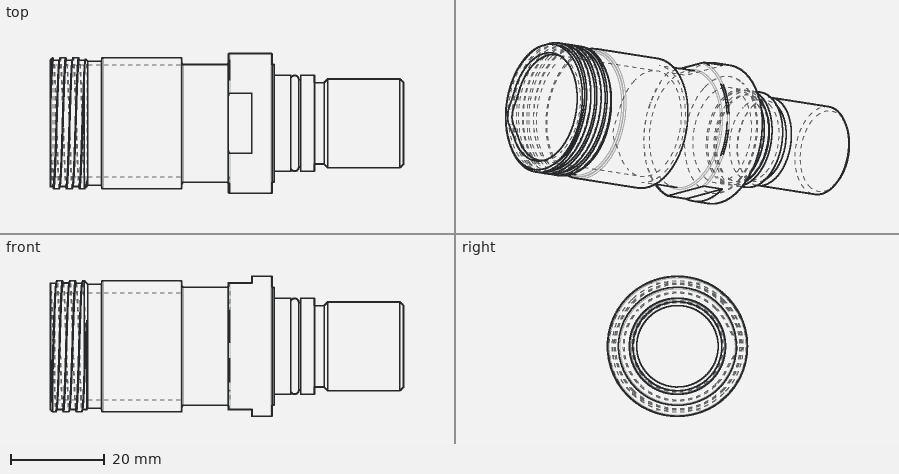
import cadquery as cq
import math

thread_end = 8.0
barrel_start = 10.97
barrel_end = 28.1
flange_start = 38.0
flange_end = 47.35
hub_end = 47.8
groove_start = 51.35
groove_end = 53.4
collar_end = 56.4
undercut_end = 58.4
total_length = 75.4

thread_crest_radius = 28.0 / 2
thread_root_radius = 27.0 / 2
relief_radius = 26.5 / 2
barrel_radius = 28.0 / 2
neck_radius = 25.2 / 2
flange_radius = 29.9 / 2
hub_radius = neck_radius
collar_radius = 20.57 / 2
groove_radius = 18.7 / 2
undercut_radius = 17.4 / 2
tail_radius = 19.0 / 2

edge_rounding = 0.3
edge_search_margin = 0.01
tail_chamfer = 0.8
undercut_cone_end = undercut_end + (tail_radius - undercut_radius)

bead_radius = 1.78 / 2
bead_center_radius = groove_radius
bead_bite = 0.1
bead_center_x = groove_start + bead_radius - bead_bite

flat_distance = 27.0
flat_length = 5.0

thread_pitch = 2.76
ridge_base = 1.6
ridge_crest = 1.15
ridge_embed = 0.2
ridge_x_at_top = 2.0
thread_chamfer = thread_crest_radius - thread_root_radius
thread_end_chamfer = thread_crest_radius - relief_radius
trim_reach = 3 * thread_pitch
trim_margin = 0.5

mouth_radius = 11.65
mouth_taper_depth = 1.0
mouth_taper_inset = 0.25
key_tip = 12.8
key_half_angle = 60.0
key_tip_radius = 3.5
socket_depth = barrel_end


def revolve_about_x(outline):
    return outline.close().revolve(360, (0, 0, 0), (1, 0, 0))


def turned_housing():
    outline = (
        cq.Workplane("XY")
        .moveTo(0, 0)
        .lineTo(0, thread_root_radius)
        .lineTo(thread_end - (thread_root_radius - relief_radius), thread_root_radius)
        .lineTo(thread_end, relief_radius)
        .lineTo(barrel_start, relief_radius)
        .lineTo(barrel_start, barrel_radius)
        .lineTo(barrel_end, barrel_radius)
        .lineTo(barrel_end, neck_radius)
        .lineTo(flange_start, neck_radius)
        .lineTo(flange_start, flange_radius)
        .lineTo(flange_end, flange_radius)
        .lineTo(flange_end, hub_radius)
        .lineTo(hub_end, hub_radius)
        .lineTo(hub_end, collar_radius)
        .lineTo(groove_start, collar_radius)
        .lineTo(groove_start, groove_radius)
        .lineTo(groove_end, groove_radius)
        .lineTo(groove_end, collar_radius)
        .lineTo(collar_end, collar_radius)
        .lineTo(collar_end, undercut_radius)
        .lineTo(undercut_end, undercut_radius)
        .lineTo(undercut_cone_end, tail_radius)
        .lineTo(total_length - tail_chamfer, tail_radius)
        .lineTo(total_length, tail_radius - tail_chamfer)
        .lineTo(total_length, 0)
    )
    return revolve_about_x(outline)


def round_step_edges(body):
    rounded_circles = [
        (barrel_start, relief_radius),
        (barrel_start, barrel_radius),
        (barrel_end, barrel_radius),
        (barrel_end, neck_radius),
        (flange_start, neck_radius),
        (flange_start, flange_radius),
        (flange_end, flange_radius),
        (hub_end, hub_radius),
        (collar_end, collar_radius),
    ]
    for x, radius in rounded_circles:
        margin = edge_search_margin
        edge = cq.selectors.BoxSelector(
            (x - margin, -radius - margin, -radius - margin),
            (x + margin, radius + margin, radius + margin),
            boundingbox=True,
        )
        inner = cq.selectors.BoxSelector(
            (x - margin, -radius + margin, -radius + margin),
            (x + margin, radius - margin, radius - margin),
            boundingbox=True,
        )
        body = body.edges(edge - inner).fillet(edge_rounding)
    return body


def sealing_bead():
    return (
        cq.Workplane("XY")
        .center(bead_center_x, bead_center_radius)
        .circle(bead_radius)
        .revolve(360, (0, -bead_center_radius, 0), (1, -bead_center_radius, 0))
    )


def wrench_flats():
    cutter_height = flange_radius
    cutters = cq.Workplane("XY")
    for side in (1, -1):
        cutters = cutters.add(
            cq.Workplane("XY").box(flat_length, 2 * flange_radius, cutter_height).translate(
                (flange_start + flat_length / 2, 0, side * (flat_distance + cutter_height) / 2)
            )
        )
    return cutters.combine()


def thread_ridge():
    turns_before_face = 2
    helix_start = ridge_x_at_top - turns_before_face * thread_pitch
    helix_height = thread_end + thread_pitch - helix_start
    path = cq.Wire.makeHelix(thread_pitch, helix_height, thread_root_radius, lefthand=True)
    foot_radius = thread_root_radius - ridge_embed
    section = (
        cq.Workplane("XZ")
        .moveTo(foot_radius, -ridge_base / 2)
        .lineTo(thread_crest_radius, -ridge_crest / 2)
        .lineTo(thread_crest_radius, ridge_crest / 2)
        .lineTo(foot_radius, ridge_base / 2)
        .close()
    )
    ridge = section.sweep(cq.Workplane(obj=path), isFrenet=True)
    ridge = ridge.rotate((0, 0, 0), (0, 1, 0), 90)
    ridge = ridge.rotate((0, 0, 0), (1, 0, 0), 180)
    ridge = ridge.translate((helix_start, 0, 0))
    return ridge.cut(front_trim()).cut(rear_trim())


def front_trim():
    """Cutter that cuts the ridge off at the mating face and chamfers its start."""
    return revolve_about_x(
        cq.Workplane("XY")
        .moveTo(-trim_reach, 0)
        .lineTo(0, 0)
        .lineTo(0, thread_root_radius)
        .lineTo(thread_chamfer + trim_margin, thread_crest_radius + trim_margin)
        .lineTo(-trim_reach, thread_crest_radius + trim_margin)
    )


def rear_trim():
    """Cutter that chamfers the end of the ridge down to the relief."""
    return revolve_about_x(
        cq.Workplane("XY")
        .moveTo(thread_end + trim_reach, 0)
        .lineTo(thread_end + trim_margin, 0)
        .lineTo(thread_end + trim_margin, relief_radius - trim_margin)
        .lineTo(thread_end - thread_end_chamfer - trim_margin, thread_crest_radius + trim_margin)
        .lineTo(thread_end + trim_reach, thread_crest_radius + trim_margin)
    )


def keyed_prism(inset, start, end):
    """Cylinder along X with a rounded V key on its +Y side, shrunk all round by inset."""
    radius = mouth_radius - inset
    tip_radius = key_tip_radius - inset
    half_angle = math.radians(key_half_angle)
    tip_center = key_tip - key_tip_radius
    apex = tip_center + tip_radius / math.sin(half_angle)
    half_width = apex * math.tan(half_angle)
    wedge = (
        cq.Workplane("YZ", origin=(start, 0, 0))
        .moveTo(apex, 0)
        .lineTo(0, half_width)
        .lineTo(0, -half_width)
        .close()
        .extrude(end - start)
        .edges("|X and >Y")
        .fillet(tip_radius)
    )
    key_reach = cq.Workplane("YZ", origin=(start, 0, 0)).rect(4 * radius, radius).extrude(end - start)
    barrel = cq.Workplane("YZ", origin=(start, 0, 0)).circle(radius).extrude(end - start)
    return barrel.union(wedge.intersect(key_reach)).clean()


def mouth_recess():
    """Tapered recess ahead of the insert, lofted between its rim and its floor."""
    rim = keyed_prism(0, 0, mouth_taper_depth).faces("<X").wires().val()
    floor = keyed_prism(mouth_taper_inset, 0, mouth_taper_depth).faces(">X").wires().val()
    return cq.Workplane(obj=cq.Solid.makeLoft([rim, floor], True))


insert = keyed_prism(mouth_taper_inset, mouth_taper_depth, socket_depth)

housing = round_step_edges(turned_housing())
housing = housing.cut(wrench_flats())
housing = housing.union(sealing_bead())
housing = housing.union(thread_ridge())
housing = housing.cut(mouth_recess()).cut(insert)

result = cq.Compound.makeCompound([housing.val(), insert.val()])